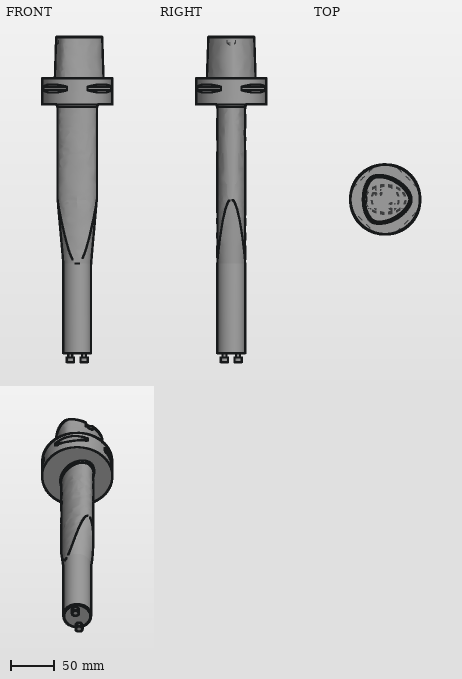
import cadquery as cq
import math

total_height = 371
flange_top = 323.5
flange_bottom = 293.5
taper_top = 185.5
taper_bottom = 112.5
bar_bottom = 10.0

flange_diameter = 80.0
flange_chamfer = 0.7

coupling_base_radius = 28.0
coupling_top_radius = 26.5
lobe_height = 2.2
coupling_chamfer = 1.0
lobe_sample_count = 48

groove_diameter = 11
groove_axis_x = -26.7
groove_depth = 7.8
groove_tip_height = 4.5

shank_width = 45.3
bar_diameter = 32.0
bar_chamfer = 1.0
collar_height = 3.0
collar_flare = 1.0

gripper_center = 311.5
gripper_floor_distance = 35.2
gripper_floor_height = 3.7
gripper_mouth_height = 9.5
gripper_angles = (45, 135, 225, 315)

pin_offset = 7.8
pin_neck_diameter = 5.0
pin_head_diameter = 8.5
pin_head_height = 6.0
pin_head_chamfer = 0.7


def cylinder(diameter, bottom, top):
    return cq.Workplane("XY").workplane(offset=bottom).circle(diameter / 2).extrude(top - bottom)


def lobed_section(mean_radius, height):
    """Constant-width curve whose distance to its tangent is mean_radius + lobe_height * cos(3 t)."""
    points = []
    for step in range(lobe_sample_count):
        t = 2 * math.pi * step / lobe_sample_count
        support = mean_radius + lobe_height * math.cos(3 * t)
        slope = -3 * lobe_height * math.sin(3 * t)
        x = support * math.cos(t) - slope * math.sin(t)
        y = support * math.sin(t) + slope * math.cos(t)
        points.append(cq.Vector(x, y, height))
    return cq.Wire.assembleEdges([cq.Edge.makeSpline(points, periodic=True)])


def make_coupling():
    chamfer_start = total_height - coupling_chamfer
    base = lobed_section(coupling_base_radius, flange_top)
    shoulder = lobed_section(coupling_top_radius, chamfer_start)
    tip = lobed_section(coupling_top_radius - coupling_chamfer, total_height)
    body = cq.Workplane(cq.Solid.makeLoft([base, shoulder], True))
    return body.union(cq.Workplane(cq.Solid.makeLoft([shoulder, tip], True)))


def make_key_groove():
    """Drilled groove with a conical end."""
    radius = groove_diameter / 2
    cone_top = total_height - groove_depth
    profile = (
        cq.Workplane("XZ")
        .moveTo(0, cone_top - groove_tip_height)
        .lineTo(radius, cone_top)
        .lineTo(radius, total_height)
        .lineTo(0, total_height)
        .close()
    )
    return profile.revolve(360, (0, 0, 0), (0, 1, 0)).translate((groove_axis_x, 0, 0))


def make_gripper_groove(angle):
    """Straight groove with sloping sides that widen to the mouth at the flange rim."""
    rim = flange_diameter / 2
    floor_half = gripper_floor_height / 2
    mouth_half = gripper_mouth_height / 2
    groove = (
        cq.Workplane("XZ")
        .moveTo(gripper_floor_distance, gripper_center - floor_half)
        .lineTo(rim, gripper_center - mouth_half)
        .lineTo(rim, gripper_center + mouth_half)
        .lineTo(gripper_floor_distance, gripper_center + floor_half)
        .close()
        .extrude(rim, both=True)
    )
    return groove.rotate((0, 0, 0), (0, 0, 1), angle)


def make_flange():
    flange = cylinder(flange_diameter, flange_bottom, flange_top).faces(">Z").chamfer(flange_chamfer)
    for angle in gripper_angles:
        flange = flange.cut(make_gripper_groove(angle))
    return flange


def make_shank():
    """Oval shank trimmed by a cone down to the diameter of the bar."""
    oval = (
        cq.Workplane("XY")
        .workplane(offset=taper_bottom)
        .ellipse(shank_width / 2, bar_diameter / 2)
        .extrude(flange_bottom - taper_bottom)
    )
    envelope = (
        cq.Workplane("XZ")
        .moveTo(0, taper_bottom)
        .lineTo(bar_diameter / 2, taper_bottom)
        .lineTo(shank_width / 2, taper_top)
        .lineTo(shank_width, taper_top)
        .lineTo(shank_width, flange_bottom)
        .lineTo(0, flange_bottom)
        .close()
        .revolve(360, (0, 0, 0), (0, 1, 0))
    )
    collar = (
        cq.Workplane("XY")
        .workplane(offset=flange_bottom - collar_height)
        .ellipse(shank_width / 2, bar_diameter / 2)
        .workplane(offset=collar_height)
        .ellipse(shank_width / 2 + collar_flare, bar_diameter / 2 + collar_flare)
        .loft(ruled=True)
    )
    return oval.intersect(envelope).union(collar)


def make_pin(x, y):
    head = cylinder(pin_head_diameter, 0, pin_head_height).faces("<Z").chamfer(pin_head_chamfer)
    neck = cylinder(pin_neck_diameter, pin_head_height, bar_bottom)
    return head.union(neck).translate((x, y, 0))


coupling = make_coupling().cut(make_key_groove())
bar = cylinder(bar_diameter, bar_bottom, taper_bottom).faces("<Z").chamfer(bar_chamfer)
result = coupling.union(make_flange()).union(make_shank()).union(bar)
for side in (-1, 1):
    result = result.union(make_pin(side * pin_offset, -side * pin_offset))